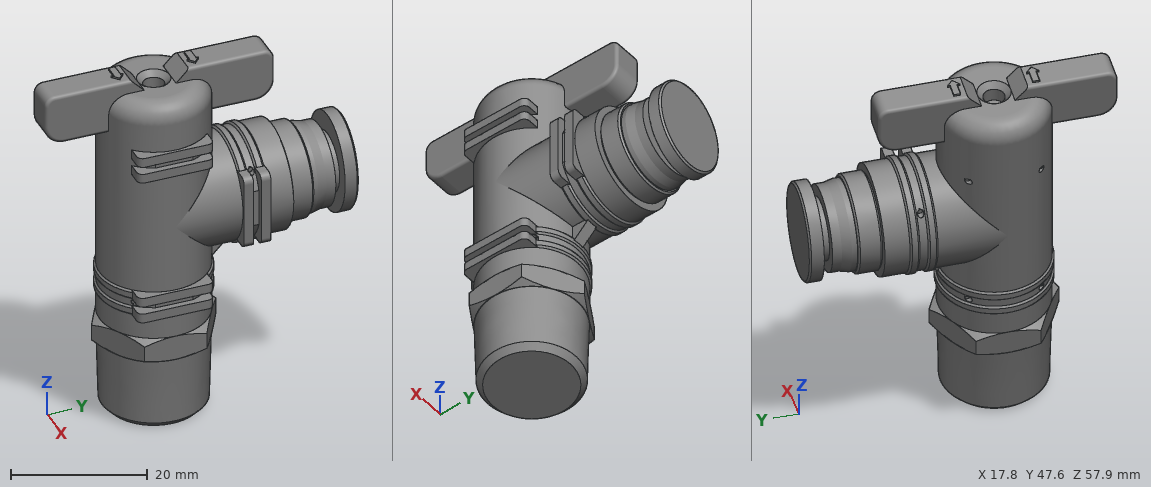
import cadquery as cq
import math

BODY_R = 8.5
BODY_TOP = 55.65
DOME_R = 3.0
SEAM_TURN = -90

SPIGOT_TOP = 11.9
SPIGOT_TOP_R = 8.45
SPIGOT_LOW_R = 8.15
SPIGOT_END_R = 7.2
SPIGOT_CHAMFER_H = 1.05

HEX_FLATS = 2 * BODY_R
HEX_TOP = 15.95
HEX_CHAMFER_ANGLE = 30
HEX_HALF_SECTOR = 360 / 12

BRANCH_Z = 34.7
BRANCH_END = 18.65
COLLAR_END = 22.35
COLLAR_R = 7.5
COLLAR_CHAMFER = 0.3
CAP_R = 6.95
CAP_TAPER_START = 23.2
CAP_NOSE_R = 6.6
CAP_NOSE_START = 24.6
CAP_END = 26.1
NECK_R = 4.8
FLANGE_START = 27.4
FLANGE_END = 29.6
FLANGE_HALF_X = 6.95
FLANGE_HALF_Z = 8.0
FLANGE_CHAMFER = 0.3

GUSSET_LEG = 3.1
GUSSET_SINK = 1.15
GUSSET_WIDTH = 2.0

RING_R = 8.8
RING_WIDTH = 1.5
RING_GAP = 1.2
RING_PITCH = RING_WIDTH + RING_GAP
TAB_REACH = 9.0
TAB_HALF_WIDTH = 5.95
TAB_CORNER_R = 1.0
TAB_GAP_FLAT = TAB_REACH - TAB_CORNER_R
LOWER_BAND_Z = 21.85
UPPER_BAND_Z = 46.05
BRANCH_BAND_Y = 12.75

DIMPLE_R = 0.45
DIMPLE_OFFSET = 5.5
DIMPLE_FLOOR_X = 5.85
UPPER_DIMPLE_Z = 44.9

HANDLE_WIDTH = 5.05
HANDLE_REACH = 18.0
HANDLE_TOP = 57.65
HANDLE_BOTTOM = 49.6
HANDLE_TOP_R = 1.5
HANDLE_BOTTOM_R = 2.95
HANDLE_EDGE_R = 0.5

SINK_R = HANDLE_WIDTH / 2
HOLE_R = 1.6
HOLE_DEPTH = 3.0

ARROW_RISE = 0.3
ARROW_Y = 5.95
ARROW_TAIL_X = -1.6
ARROW_NECK_X = 0.45
ARROW_TIP_X = 1.5
ARROW_SHAFT_HALF = 0.5
ARROW_HEAD_HALF = 0.9


def turned(radius_height_points):
    """Solid of revolution about Z from its outer (radius, height) corners."""
    first_height = radius_height_points[0][1]
    last_height = radius_height_points[-1][1]
    outline = [(0, first_height)] + radius_height_points + [(0, last_height)]
    return cq.Workplane("XZ").polyline(outline).close().revolve(360, (0, 0, 0), (0, 1, 0))


def spigot():
    return turned([
        (SPIGOT_END_R, 0),
        (SPIGOT_LOW_R, SPIGOT_CHAMFER_H),
        (SPIGOT_TOP_R, SPIGOT_TOP),
    ])


def hex_nut():
    height = HEX_TOP - SPIGOT_TOP
    flat_r = HEX_FLATS / 2
    corner_r = flat_r / math.cos(math.radians(HEX_HALF_SECTOR))
    drop = (corner_r - flat_r) * math.tan(math.radians(HEX_CHAMFER_ANGLE))
    prism = (
        cq.Workplane("XY").workplane(offset=SPIGOT_TOP)
        .polygon(6, 2 * corner_r).extrude(height)
        .rotate((0, 0, 0), (0, 0, 1), HEX_HALF_SECTOR)
    )
    chamfer_envelope = turned([
        (flat_r, SPIGOT_TOP),
        (corner_r, SPIGOT_TOP + drop),
        (corner_r, HEX_TOP - drop),
        (flat_r, HEX_TOP),
    ])
    return prism.intersect(chamfer_envelope)


def main_body():
    """Domed cylinder, turned so that its seam lies on -Y, clear of the branch joint."""
    return (
        cq.Workplane("XY").workplane(offset=SPIGOT_TOP)
        .circle(BODY_R).extrude(BODY_TOP - SPIGOT_TOP)
        .faces(">Z").edges().fillet(DOME_R)
        .rotate((0, 0, 0), (0, 0, 1), SEAM_TURN)
    )


def branch_stem():
    """Stepped branch with its oval flange, built along +Z."""
    stem = turned([
        (BODY_R, 0),
        (BODY_R, BRANCH_END),
        (COLLAR_R - COLLAR_CHAMFER, BRANCH_END),
        (COLLAR_R, BRANCH_END + COLLAR_CHAMFER),
        (COLLAR_R, COLLAR_END - COLLAR_CHAMFER),
        (COLLAR_R - COLLAR_CHAMFER, COLLAR_END),
        (CAP_R, COLLAR_END),
        (CAP_R, CAP_TAPER_START),
        (CAP_NOSE_R, CAP_NOSE_START),
        (CAP_NOSE_R, CAP_END),
        (NECK_R, CAP_END),
        (NECK_R, FLANGE_START),
    ])
    flange = (
        cq.Workplane("XY").workplane(offset=FLANGE_START)
        .ellipse(FLANGE_HALF_X, FLANGE_HALF_Z).extrude(FLANGE_END - FLANGE_START)
        .faces(">Z").edges().chamfer(FLANGE_CHAMFER)
    )
    return stem.union(flange)


def gusset():
    """Triangular 45 degree web under the branch, sunk into both cylinders."""
    inner_y = BODY_R - GUSSET_SINK
    outer_y = BODY_R + GUSSET_LEG + GUSSET_SINK
    upper_z = BRANCH_Z - BODY_R + GUSSET_SINK
    lower_z = upper_z - (outer_y - inner_y)
    return (
        cq.Workplane("YZ")
        .polyline([(inner_y, lower_z), (outer_y, upper_z), (inner_y, upper_z)])
        .close().extrude(GUSSET_WIDTH / 2, both=True)
    )


def ring(height):
    """Chamfered ring around Z, centred at the given height."""
    chamfer = RING_R - BODY_R
    half = RING_WIDTH / 2
    return turned([
        (BODY_R, height - half),
        (RING_R, height - half + chamfer),
        (RING_R, height + half - chamfer),
        (BODY_R, height + half),
    ])


def tab(height):
    """Plate reaching out to +X with rounded outer corners, centred at the given height."""
    return (
        cq.Workplane("XY")
        .box(TAB_REACH, 2 * TAB_HALF_WIDTH, RING_WIDTH, centered=(False, True, True))
        .edges("|Z and >X").fillet(TAB_CORNER_R)
        .translate((0, 0, height))
    )


def band_pair(make_member, height):
    upper = make_member(height + RING_PITCH / 2)
    lower = make_member(height - RING_PITCH / 2)
    return upper.union(lower)


def tab_gap(height):
    """Cutter that leaves a flat on the cylinder between a pair of tabs."""
    return (
        cq.Workplane("XY")
        .box(TAB_REACH, 2 * TAB_HALF_WIDTH, RING_GAP, centered=(False, True, True))
        .translate((TAB_GAP_FLAT, 0, height))
    )


def dimples(height, y_sides):
    """Blind-hole cutters from -X at the given height, on the given sides of the XZ plane."""
    centres = [(side * DIMPLE_OFFSET, height) for side in y_sides]
    return (
        cq.Workplane("YZ").workplane(offset=-BODY_R)
        .pushPoints(centres).circle(DIMPLE_R).extrude(BODY_R - DIMPLE_FLOOR_X)
    )


def handle_arm():
    """One arm toward +Y, with a 45 degree ramp from its top down to the hole."""
    ramp_rise = HANDLE_TOP - BODY_TOP
    arm = (
        cq.Workplane("YZ")
        .polyline([
            (SINK_R, HANDLE_BOTTOM),
            (HANDLE_REACH, HANDLE_BOTTOM),
            (HANDLE_REACH, HANDLE_TOP),
            (SINK_R, HANDLE_TOP),
        ])
        .close().extrude(HANDLE_WIDTH / 2, both=True)
        .edges("|X and >Y and >Z").fillet(HANDLE_TOP_R)
        .edges("|X and >Y and <Z").fillet(HANDLE_BOTTOM_R)
    )
    arm = arm.faces("<X or >X").edges("not(<Y)").fillet(HANDLE_EDGE_R)
    ramp_cut = (
        cq.Workplane("YZ")
        .polyline([
            (0, BODY_TOP),
            (SINK_R, BODY_TOP),
            (SINK_R + 2 * ramp_rise, BODY_TOP + 2 * ramp_rise),
            (0, BODY_TOP + 2 * ramp_rise),
        ])
        .close().extrude(HANDLE_WIDTH, both=True)
    )
    return arm.cut(ramp_cut)


def top_hole():
    cone_depth = SINK_R - HOLE_R
    return turned([
        (HOLE_R, BODY_TOP - HOLE_DEPTH),
        (HOLE_R, BODY_TOP - cone_depth),
        (SINK_R, BODY_TOP),
    ])


def arrow(y):
    half_outline = [
        (ARROW_TAIL_X, ARROW_SHAFT_HALF),
        (ARROW_NECK_X, ARROW_SHAFT_HALF),
        (ARROW_NECK_X, ARROW_HEAD_HALF),
    ]
    mirrored = [(x, -v) for x, v in reversed(half_outline)]
    return (
        cq.Workplane("XY").workplane(offset=HANDLE_TOP)
        .polyline(half_outline + [(ARROW_TIP_X, 0)] + mirrored)
        .close().extrude(ARROW_RISE)
        .translate((0, y, 0))
    )


def banded_column():
    """Vertical body with spigot, nut, a full lower band and a pair of upper tabs."""
    column = main_body().union(spigot()).union(hex_nut())
    lower_dimples = dimples(LOWER_BAND_Z, (-1, 1))
    column = column.cut(lower_dimples).cut(lower_dimples.mirror("YZ"))
    column = column.cut(dimples(UPPER_DIMPLE_Z, (-1, 1)))
    column = column.union(band_pair(ring, LOWER_BAND_Z))
    for band_z in (LOWER_BAND_Z, UPPER_BAND_Z):
        column = column.union(band_pair(tab, band_z)).cut(tab_gap(band_z))
    return column


def banded_branch():
    """Branch with its band, turned from +Z onto the +Y axis; its -Y side ends up on top."""
    top_dimples = dimples(BRANCH_BAND_Y, (-1,))
    stem = branch_stem().cut(top_dimples).cut(top_dimples.mirror("YZ"))
    stem = stem.union(band_pair(ring, BRANCH_BAND_Y))
    stem = stem.union(band_pair(tab, BRANCH_BAND_Y)).cut(tab_gap(BRANCH_BAND_Y))
    return stem.rotate((0, 0, 0), (1, 0, 0), -90).translate((0, 0, BRANCH_Z))


result = banded_column().union(banded_branch()).union(gusset())

handle_half = handle_arm()
result = result.union(handle_half).union(handle_half.mirror("XZ"))
for arm_side in (-1, 1):
    result = result.union(arrow(arm_side * ARROW_Y))

result = result.cut(top_hole())